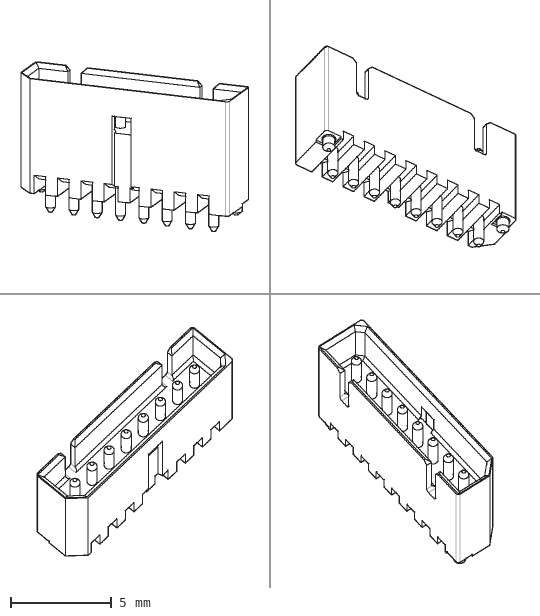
import cadquery as cq
import math

length = 11.45
depth = 2.8
height = 5.95
corner_round = 0.15
key_chamfer = 0.8

side_wall = 0.27
long_wall = 0.31
floor_z = 3.55
rim_chamfer = 0.23
floor_chamfer = 0.18
corner_cut = 0.33

back_slot_offset = 3.54
back_slot_width = 0.71
back_slot_fillet = 0.15

window_width = 1.01
window_top = 4.51

pin_slot_width = 0.62
slot_front_height = 0.96
slot_back_height = 0.58
slot_roof_angle = 30.0

peg_diameter = 0.61
peg_tip_diameter = 0.18
peg_flare = 0.05
peg_inset = 0.5
peg_shoulder_z = -0.41
peg_tip_z = -0.6
peg_recess_size = 0.9
peg_recess_height = 0.14

pin_count = 8
pin_pitch = 1.25
pin_diameter = 0.5
pin_tip_diameter = 0.2
pin_tip_length = 0.27
pin_top = 5.32
pin_bottom = -1.29

half_length = length / 2
pin_y = depth / 2
pin_xs = [(i - (pin_count - 1) / 2) * pin_pitch for i in range(pin_count)]


def box(x_min, x_max, y_min, y_max, z_min, z_max):
    size = (x_max - x_min, y_max - y_min, z_max - z_min)
    return cq.Workplane("XY").box(*size, centered=False).translate((x_min, y_min, z_min))


def turned(points, x, y):
    """Revolve a (radius, z) outline about a vertical axis at (x, y)."""
    return cq.Workplane("XZ").polyline(points).close().revolve(360, (0, 0), (0, 1)).translate((x, y, 0))


def outer_block():
    block = box(-half_length, half_length, 0, depth, 0, height)
    block = block.edges("|Z").edges("<X and <Y").chamfer(key_chamfer)
    return block.edges("|Z").edges(">Y or (>X and <Y)").fillet(corner_round)


def cavity_outline(inset):
    """Cavity outline moved inward from the cavity walls (outward if negative)."""
    left = -half_length + side_wall + inset
    right = half_length - side_wall - inset
    front = long_wall + inset
    back = depth - long_wall - inset
    leg_change = inset * (2 - math.sqrt(2))
    key_wall_shift = side_wall * math.sqrt(2)
    key_leg = key_chamfer + key_wall_shift - side_wall - long_wall - leg_change
    cut_leg = corner_cut - leg_change
    return [
        (left, back),
        (left, front + key_leg),
        (left + key_leg, front),
        (right - cut_leg, front),
        (right, front + cut_leg),
        (right, back),
    ]


def lofted(bottom_inset, bottom_z, top_inset, top_z):
    return (
        cq.Workplane("XY", origin=(0, 0, bottom_z))
        .polyline(cavity_outline(bottom_inset)).close()
        .workplane(offset=top_z - bottom_z)
        .polyline(cavity_outline(top_inset)).close()
        .loft(ruled=True)
    )


def cavity():
    foot_top = floor_z + floor_chamfer
    rim_start = height - rim_chamfer
    foot = lofted(floor_chamfer, floor_z, 0, foot_top)
    walls = lofted(0, foot_top, 0, rim_start)
    rim = lofted(0, rim_start, -rim_chamfer, height)
    return foot.union(walls).union(rim)


def back_slot(x):
    """Slot with rounded floor corners and a flared mouth, through the back wall."""
    half = back_slot_width / 2
    flat = half - back_slot_fillet
    fillet_top = floor_z + back_slot_fillet
    mouth_start = height - rim_chamfer
    profile = (
        cq.Workplane("XZ", origin=(x, depth, 0))
        .moveTo(-flat, floor_z)
        .lineTo(flat, floor_z)
        .radiusArc((half, fillet_top), -back_slot_fillet)
        .lineTo(half, mouth_start)
        .lineTo(half + rim_chamfer, height)
        .lineTo(-half - rim_chamfer, height)
        .lineTo(-half, mouth_start)
        .lineTo(-half, fillet_top)
        .radiusArc((-flat, floor_z), -back_slot_fillet)
        .close()
    )
    return profile.extrude(long_wall + floor_chamfer)


def front_window():
    """Recess as deep as the front wall, opening into the cavity above its floor."""
    half = window_width / 2
    recess = box(-half, half, 0, long_wall, 0, window_top)
    passage = box(-half, half, long_wall, long_wall + floor_chamfer, floor_z, window_top)
    return recess.union(passage)


def pin_slot(x):
    """Slot under the housing whose roof slopes down from the front, then runs level."""
    roof_run = (slot_front_height - slot_back_height) / math.tan(math.radians(slot_roof_angle))
    outline = [
        (0, 0),
        (depth, 0),
        (depth, slot_back_height),
        (roof_run, slot_back_height),
        (0, slot_front_height),
    ]
    left = x - pin_slot_width / 2
    return cq.Workplane("YZ", origin=(left, 0, 0)).polyline(outline).close().extrude(pin_slot_width)


def pin_hole(x):
    return cq.Workplane("XY").center(x, pin_y).circle(pin_diameter / 2).extrude(height)


def peg_recess(side):
    outer = side * half_length
    inner = side * (half_length - peg_recess_size)
    y_min = depth - peg_recess_size
    return box(min(outer, inner), max(outer, inner), y_min, depth, 0, peg_recess_height)


def locating_peg(side):
    outline = [
        (0, peg_recess_height),
        (peg_diameter / 2 + peg_flare, peg_recess_height),
        (peg_diameter / 2, peg_recess_height - peg_flare),
        (peg_diameter / 2, peg_shoulder_z),
        (peg_tip_diameter / 2, peg_tip_z),
        (0, peg_tip_z),
    ]
    return turned(outline, side * (half_length - peg_inset), depth - peg_inset)


def make_housing():
    body = outer_block().cut(cavity()).cut(front_window())
    for x in (-back_slot_offset, back_slot_offset):
        body = body.cut(back_slot(x))
    for x in pin_xs:
        body = body.cut(pin_slot(x)).cut(pin_hole(x))
    for side in (-1, 1):
        body = body.cut(peg_recess(side)).union(locating_peg(side))
    return body


def make_pin(x):
    """Round contact pin with a cone at each end."""
    outline = [
        (0, pin_bottom),
        (pin_tip_diameter / 2, pin_bottom),
        (pin_diameter / 2, pin_bottom + pin_tip_length),
        (pin_diameter / 2, pin_top - pin_tip_length),
        (pin_tip_diameter / 2, pin_top),
        (0, pin_top),
    ]
    return turned(outline, x, pin_y)


housing = make_housing()
pins = [make_pin(x) for x in pin_xs]

result = cq.Compound.makeCompound([housing.solids().val(), *[pin.val() for pin in pins]])